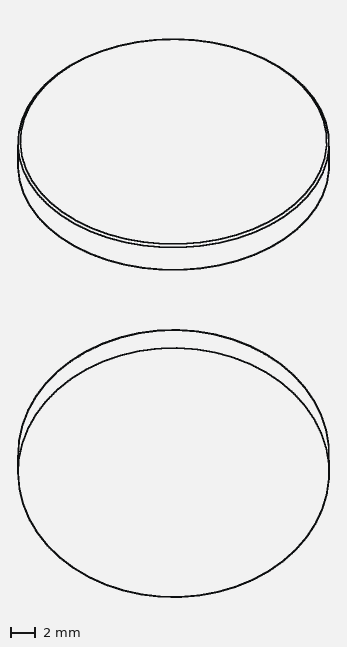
import cadquery as cq
import math

diameter = 25.4
overall_height = 5.06
convex_radius = 35.0
concave_radius = 77.5
rim_chamfer = 0.2

rim_radius = diameter / 2
concave_edge_radius = rim_radius - rim_chamfer


def sag(sphere_radius, distance_from_axis):
    """Depth of a spherical face at a distance from the optical axis."""
    return sphere_radius - math.sqrt(sphere_radius**2 - distance_from_axis**2)


def lens_profile():
    """Half section of the lens in the XZ plane, with the convex apex at the origin."""
    convex_edge_height = sag(convex_radius, rim_radius)
    concave_apex_height = overall_height - sag(concave_radius, concave_edge_radius)
    half_rim = rim_radius / 2
    half_concave = concave_edge_radius / 2
    return (
        cq.Workplane("XZ")
        .moveTo(0, 0)
        .threePointArc(
            (half_rim, sag(convex_radius, half_rim)),
            (rim_radius, convex_edge_height),
        )
        .lineTo(rim_radius, overall_height - rim_chamfer)
        .lineTo(concave_edge_radius, overall_height)
        .threePointArc(
            (half_concave, concave_apex_height + sag(concave_radius, half_concave)),
            (0, concave_apex_height),
        )
        .close()
    )


result = lens_profile().revolve(360, (0, 0, 0), (0, 1, 0))